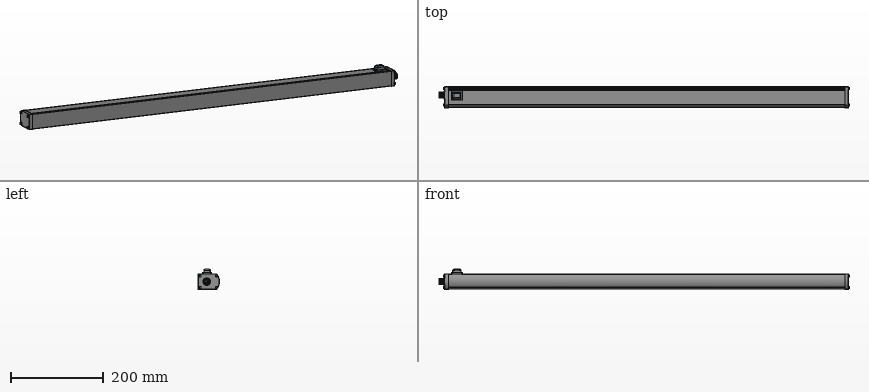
import cadquery as cq
import math

total_length = 884.0

cap_depth = 46.0
cap_height = 34.0
cap_thickness = 8.0
front_bow = 6.6
cap_edge_chamfer = 1.0

screw_head_diameter = 4.0
screw_head_height = 3.0
screw_back_inset = 4.0
screw_front_inset = 6.0
screw_vertical_inset = 4.0

profile_inset = 0.4

seam_drop = 12.0
seam_size = 1.0

groove_width = 2.0
groove_depth = 1.0
groove_pitch = 3.5
groove_count = 2
first_groove_inset = 4.0

connector_length = 12.0
connector_diameter = 13.0
connector_y = 4.0
collar_diameter = 16.0
collar_thickness = 1.0
thread_depth = 1.0
thread_pitch = 3.5
thread_groove_width = 2.0
thread_groove_count = 3
socket_diameter = 9.0
socket_depth = 5.0
pin_diameter = 3.5

switch_x = 26.5
switch_y = 3.5
flange_length = 24.0
flange_width = 19.0
flange_height = 3.0
rocker_length = 18.5
rocker_width = 14.0
rocker_chamfer = 3.0
rocker_crown = 1.0
switch_height = 11.0

body_length = total_length - connector_length - screw_head_height
profile_length = body_length - 2 * cap_thickness
back_y = cap_depth / 2
half_height = cap_height / 2
profile_half_height = half_height - profile_inset
profile_front_y = profile_inset - back_y


def bowed_plate(inset, start_x, length):
    """Plate along X with a flat back and a bowed front."""
    plate_back_y = back_y - inset
    plate_half_height = half_height - inset
    corner_y = front_bow - plate_back_y
    return (
        cq.Workplane("YZ", origin=(start_x, 0, 0))
        .moveTo(plate_back_y, -plate_half_height)
        .lineTo(corner_y, -plate_half_height)
        .threePointArc((-plate_back_y, 0), (corner_y, plate_half_height))
        .lineTo(plate_back_y, plate_half_height)
        .close()
        .extrude(length)
    )


def end_cap(start_x, outer_face):
    """Bowed plate whose upright outer back edge is chamfered."""
    plate = bowed_plate(0, start_x, cap_thickness)
    return plate.faces(outer_face).edges(">Y").chamfer(cap_edge_chamfer)


def front_seam():
    """Fine channel along the lower part of the bowed front."""
    bow_radius = (profile_half_height**2 + front_bow**2) / (2 * front_bow)
    seam_y = profile_front_y + bow_radius - math.sqrt(bow_radius**2 - seam_drop**2)
    return (
        cq.Workplane("YZ", origin=(cap_thickness, seam_y, -seam_drop))
        .rect(2 * seam_size, seam_size)
        .extrude(profile_length)
    )


def back_grooves():
    centres = [
        (body_length / 2, back_y - first_groove_inset - i * groove_pitch)
        for i in range(groove_count)
    ]
    return (
        cq.Workplane("XY", origin=(0, 0, profile_half_height - groove_depth))
        .pushPoints(centres)
        .rect(profile_length, groove_width)
        .extrude(groove_depth)
    )


def profile():
    bar = bowed_plate(profile_inset, cap_thickness, profile_length)
    return bar.cut(front_seam()).cut(back_grooves())


def screw_heads(start_x):
    screw_z = half_height - screw_vertical_inset
    centres = [
        (y, z)
        for y in (back_y - screw_back_inset, screw_front_inset - back_y)
        for z in (-screw_z, screw_z)
    ]
    return (
        cq.Workplane("YZ", origin=(start_x, 0, 0))
        .pushPoints(centres)
        .circle(screw_head_diameter / 2)
        .extrude(screw_head_height)
    )


def connector_disc(start_x, diameter, length):
    return (
        cq.Workplane("YZ", origin=(start_x, connector_y, 0))
        .circle(diameter / 2)
        .extrude(length)
    )


def connector():
    """Round stub with thread grooves, a base collar, an open socket and a centre pin."""
    tip_x = -connector_length
    root_diameter = connector_diameter - 2 * thread_depth
    stub = connector_disc(tip_x, connector_diameter, connector_length)
    for i in range(thread_groove_count):
        groove_x = tip_x + (i + 0.5) * thread_pitch
        ring = connector_disc(groove_x, connector_diameter, thread_groove_width)
        core = connector_disc(groove_x, root_diameter, thread_groove_width)
        stub = stub.cut(ring.cut(core))
    collar = connector_disc(-collar_thickness, collar_diameter, collar_thickness)
    socket = connector_disc(tip_x, socket_diameter, socket_depth)
    pin = connector_disc(tip_x, pin_diameter, socket_depth)
    return stub.union(collar).cut(socket).union(pin)


def switch():
    """Flat flange carrying a crowned rocker with chamfered top edges."""
    flange = (
        cq.Workplane("XY", origin=(switch_x, switch_y, profile_half_height))
        .rect(flange_length, flange_width)
        .extrude(profile_inset + flange_height)
    )
    half_length = rocker_length / 2
    end_height = switch_height - rocker_crown
    rocker = (
        cq.Workplane("XZ", origin=(switch_x, switch_y, half_height))
        .moveTo(-half_length, 0)
        .lineTo(-half_length, end_height)
        .threePointArc((0, switch_height), (half_length, end_height))
        .lineTo(half_length, 0)
        .close()
        .extrude(rocker_width / 2, both=True)
    )
    return flange.union(rocker.faces(">Z").edges().chamfer(rocker_chamfer))


result = (
    profile()
    .union(end_cap(0, "<X"))
    .union(end_cap(body_length - cap_thickness, ">X"))
    .union(screw_heads(-screw_head_height))
    .union(screw_heads(body_length))
    .union(connector())
    .union(switch())
)